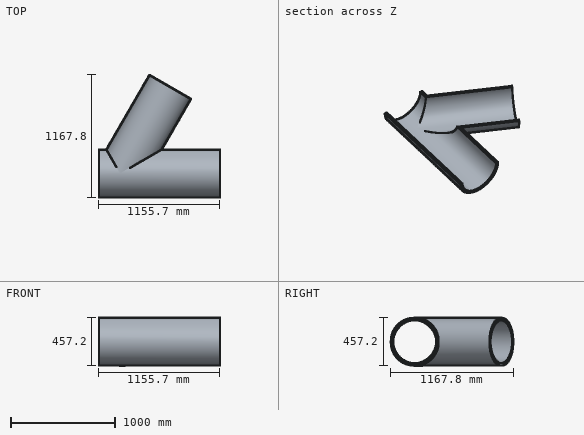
import cadquery as cq
import math

outer_diameter = 457.2
bore_diameter = 409.6
short_leg_length = 203.2
long_leg_length = 952.5
branch_angle = 60.0

run_length = short_leg_length + long_leg_length
branch_length = long_leg_length

run_start = cq.Vector(-short_leg_length, 0, 0)
run_direction = cq.Vector(1, 0, 0)
junction = cq.Vector(0, 0, 0)
branch_direction = cq.Vector(
    math.cos(math.radians(branch_angle)),
    math.sin(math.radians(branch_angle)),
    0,
)


def cylinder(diameter, length, start, direction):
    """Solid cylinder of the given length, growing from start along direction."""
    return cq.Workplane(cq.Solid.makeCylinder(diameter / 2, length, start, direction))


def lateral(diameter):
    """Run and branch cylinders of one diameter, joined at the junction.

    The flat inner end of the branch cylinder lies wholly inside the run.
    """
    run = cylinder(diameter, run_length, run_start, run_direction)
    branch = cylinder(diameter, branch_length, junction, branch_direction)
    return run.union(branch)


result = lateral(outer_diameter).cut(lateral(bore_diameter))